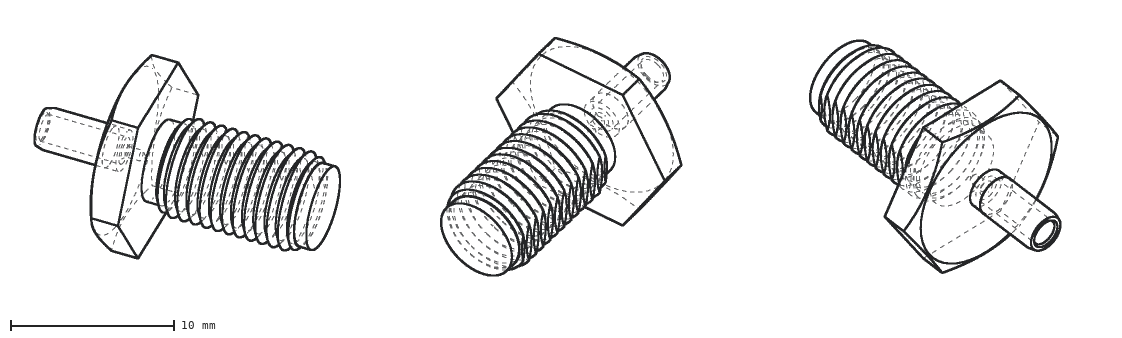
import cadquery as cq
import math

total_length = 18.7
flange_start = 5.48
flange_thickness = 2.25
flange_end = flange_start + flange_thickness
thread_start = 8.7
thread_end = 17.88

hex_across_flats = 11.0
hex_across_corners = hex_across_flats / math.cos(math.radians(30))
flange_face_radius = 5.39
corner_chamfer_depth = 0.49

stem_radius = 1.35
stem_root_radius = 1.33
stem_root_start = 4.56
stem_tip_radius = 1.22
stem_taper_length = 0.47
bore_radius = 0.86
bore_mouth_radius = 0.95
bore_mouth_depth = 0.17
bore_depth = flange_start

cup_mouth_radius = 0.5
cup_radius = 0.34
cup_straight_length = 0.94
countersink_depth = cup_mouth_radius - cup_radius
cup_straight_end = bore_depth + countersink_depth + cup_straight_length
cup_point = cup_straight_end + cup_radius

neck_radius = 2.62
end_land_radius = 2.67
thread_radius = 3.16
pitch = 0.75
first_run_start = 9.2
first_run_count = 6
second_run_start = 13.65
second_run_count = 5
second_run_end = second_run_start + second_run_count * pitch
ridge_slope = (thread_radius - neck_radius) / (pitch / 2)
thread_flat_height = 2.77


def revolve_profile(points):
    """Revolve a closed (x, radius) outline about the X axis."""
    return cq.Workplane("XY").polyline(points).close().revolve(360, (0, 0, 0), (1, 0, 0))


def ridge(start, width):
    """Return one V-shaped ring whose flanks all share the thread slope."""
    crest = neck_radius + ridge_slope * width / 2
    return revolve_profile([
        (start, 0),
        (start, neck_radius),
        (start + width / 2, crest),
        (start + width, neck_radius),
        (start + width, 0),
    ])


def make_stem():
    return revolve_profile([
        (0, 0),
        (0, stem_tip_radius),
        (stem_taper_length, stem_radius),
        (stem_root_start, stem_radius),
        (stem_root_start, stem_root_radius),
        (flange_start, stem_root_radius),
        (flange_start, 0),
    ])


def make_flange():
    hexagon = (
        cq.Workplane("YZ", origin=(flange_start, 0, 0))
        .polygon(6, hex_across_corners)
        .extrude(flange_thickness)
    )
    corner_radius = hex_across_corners / 2
    chamfer_envelope = revolve_profile([
        (flange_start, 0),
        (flange_start, flange_face_radius),
        (flange_start + corner_chamfer_depth, corner_radius),
        (flange_end, corner_radius),
        (flange_end, 0),
    ])
    return hexagon.intersect(chamfer_envelope)


def make_barrel():
    barrel = revolve_profile([
        (flange_end, 0),
        (flange_end, neck_radius),
        (thread_end, neck_radius),
        (thread_end, end_land_radius),
        (total_length, end_land_radius),
        (total_length, 0),
    ])
    ridges = [(thread_start, first_run_start - thread_start)]
    ridges += [(first_run_start + i * pitch, pitch) for i in range(first_run_count)]
    ridges += [(second_run_start + i * pitch, pitch) for i in range(second_run_count)]
    ridges += [(second_run_end, thread_end - second_run_end)]
    for start, width in ridges:
        barrel = barrel.union(ridge(start, width))

    flat_cutter = cq.Workplane("XY").box(
        total_length, thread_radius, 2 * thread_radius, centered=(False, False, True)
    ).translate((0, thread_flat_height, 0))
    return barrel.cut(flat_cutter)


def make_bore():
    return revolve_profile([
        (0, 0),
        (0, bore_mouth_radius),
        (bore_mouth_depth, bore_radius),
        (bore_depth, bore_radius),
        (bore_depth, cup_mouth_radius),
        (bore_depth + countersink_depth, cup_radius),
        (cup_straight_end, cup_radius),
        (cup_point, 0),
    ])


result = make_stem().union(make_flange()).union(make_barrel()).cut(make_bore())